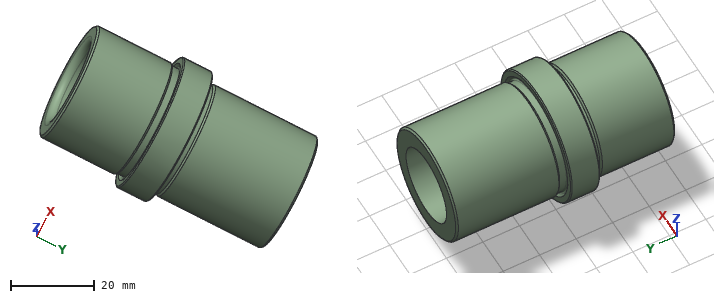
import cadquery as cq
import math

length = 60.0
body_radius = 30.0 / 2
collar_radius = 35.0 / 2
bore_radius = 20.0 / 2
collar_start = 22.0
collar_end = 30.0
end_chamfer = 0.5
collar_chamfer = 0.3
bore_rounding = 2.0

groove_radius = 14.5
groove_width = 2.0
undercut_radius = 15.7
undercut_fillet = 0.35


def cylinder(radius, start, end):
    """Cylinder on the Y axis spanning start to end."""
    plane = cq.Workplane("XZ", origin=(0, start, 0))
    return plane.circle(radius).extrude(start - end)


def relief_groove(face, inward):
    """Ring to cut beside the collar face at y = face; inward is the Y sign into the collar."""
    half_root = math.sqrt(0.5)
    wall_end = groove_radius + undercut_fillet * (1 + half_root)
    wall_depth = undercut_radius - wall_end
    fillet_center_depth = wall_depth - undercut_fillet * half_root

    def point(radius, depth):
        return (radius, face + inward * depth)

    sleeve_slope = body_radius - groove_radius
    middle_angle = math.radians(22.5)
    fillet_middle = point(
        groove_radius + undercut_fillet * (1 - math.sin(middle_angle)),
        fillet_center_depth + undercut_fillet * math.cos(middle_angle),
    )
    return (
        cq.Workplane("XY")
        .moveTo(*point(undercut_radius, 0))
        .lineTo(*point(wall_end, wall_depth))
        .threePointArc(fillet_middle, point(groove_radius, fillet_center_depth))
        .lineTo(*point(groove_radius, sleeve_slope - groove_width))
        .lineTo(*point(body_radius, -groove_width))
        .lineTo(*point(undercut_radius, -groove_width))
        .close()
        .revolve(360, (0, 0, 0), (0, 1, 0))
    )


body = cylinder(body_radius, 0, length).edges().chamfer(end_chamfer)
collar = cylinder(collar_radius, collar_start, collar_end).edges().chamfer(collar_chamfer)
bushing = body.union(collar)

for face, inward in ((collar_start, 1), (collar_end, -1)):
    bushing = bushing.cut(relief_groove(face, inward))

bushing = bushing.cut(cylinder(bore_radius, 0, length))
bore_mouth = cq.selectors.RadiusNthSelector(0)
result = bushing.faces("<Y").edges(bore_mouth).fillet(bore_rounding)